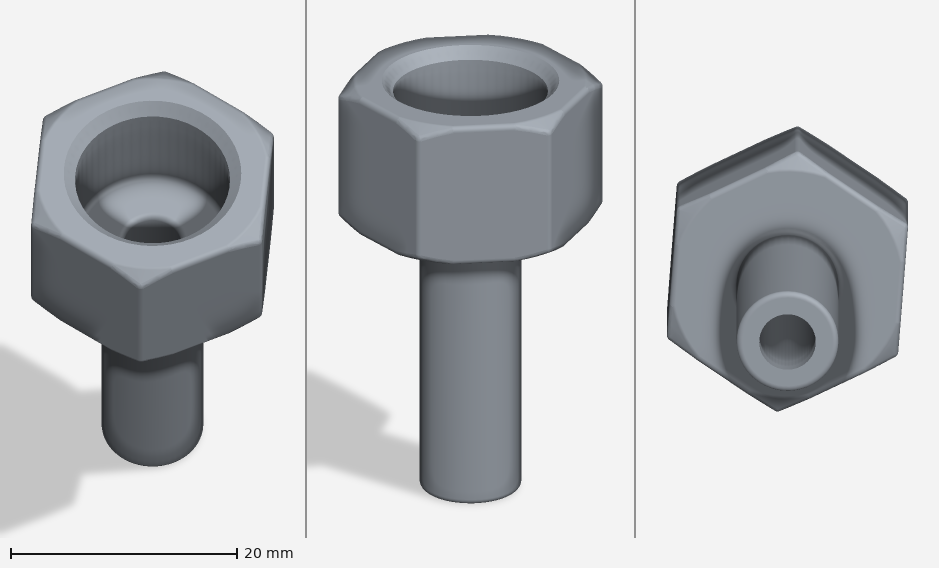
import cadquery as cq
import math

total_length = 39.0
edge_radius = 0.5

head_height = 13.3
side_count = 6
across_flats = 20.5

crown_clearance = 0.01
crown_angle = 30.0

stem_diameter = 9.0

socket_diameter = 13.7
floor_thickness = 3.0
socket_chamfer = 1.0
through_diameter = 5.0

across_corners = across_flats / math.cos(math.pi / side_count)
crown_radius = across_flats / 2 + crown_clearance
head_bottom = total_length - head_height
socket_floor = head_bottom + floor_thickness


def revolve_about_z(profile):
    """Turn a closed XZ profile into a full solid of revolution about Z."""
    return profile.revolve(360, (0, 0, 0), (0, 1, 0))


def crown_envelope():
    """Double cone that trims the hexagon corners at both ends of the head."""
    outer_radius = across_corners / 2 + edge_radius
    drop = (outer_radius - crown_radius) * math.tan(math.radians(crown_angle))
    profile = (
        cq.Workplane("XZ")
        .moveTo(0, head_bottom)
        .lineTo(crown_radius, head_bottom)
        .lineTo(outer_radius, head_bottom + drop)
        .lineTo(outer_radius, total_length - drop)
        .lineTo(crown_radius, total_length)
        .lineTo(0, total_length)
        .close()
    )
    return revolve_about_z(profile)


def head():
    """Hexagonal head with trimmed corners and every outer edge rounded."""
    hexagon = (
        cq.Workplane("XY")
        .workplane(offset=head_bottom)
        .polygon(side_count, across_corners)
        .extrude(head_height)
    )
    return hexagon.intersect(crown_envelope()).edges().fillet(edge_radius)


def stem():
    """Round stem with a rounded free end, flared by a fillet into the head underside."""
    radius = stem_diameter / 2
    profile = (
        cq.Workplane("XZ")
        .lineTo(radius - edge_radius, 0)
        .radiusArc((radius, edge_radius), -edge_radius)
        .lineTo(radius, head_bottom - edge_radius)
        .radiusArc((radius + edge_radius, head_bottom), edge_radius)
        .lineTo(0, head_bottom)
        .close()
    )
    return revolve_about_z(profile)


def bore():
    """Chamfered socket with a rounded floor corner, leading into the through hole."""
    socket_radius = socket_diameter / 2
    through_radius = through_diameter / 2
    profile = (
        cq.Workplane("XZ")
        .lineTo(through_radius, 0)
        .lineTo(through_radius, socket_floor - edge_radius)
        .radiusArc((through_radius + edge_radius, socket_floor), edge_radius)
        .lineTo(socket_radius - edge_radius, socket_floor)
        .radiusArc((socket_radius, socket_floor + edge_radius), -edge_radius)
        .lineTo(socket_radius, total_length - socket_chamfer)
        .lineTo(socket_radius + socket_chamfer, total_length)
        .lineTo(0, total_length)
        .close()
    )
    return revolve_about_z(profile)


result = head().union(stem()).cut(bore())